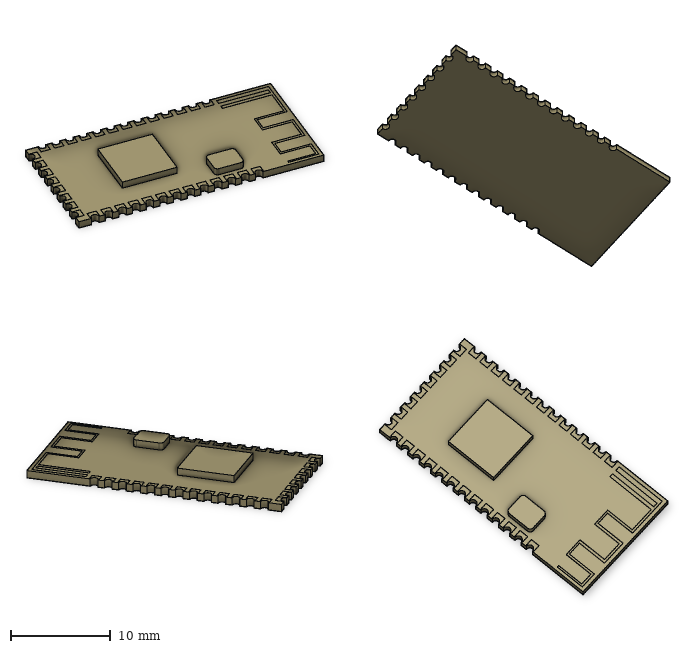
import cadquery as cq

BOARD_WIDTH = 13.0
BOARD_LENGTH = 26.9
BOARD_THICKNESS = 0.8
COPPER_THICKNESS = 0.01
COPPER_TOP = BOARD_THICKNESS + COPPER_THICKNESS
TOTAL_HEIGHT = 1.56
LEFT = -BOARD_WIDTH / 2
BACK = BOARD_LENGTH / 2
FRONT = -BOARD_LENGTH / 2

CONTACT_PITCH = 1.5
SIDE_CONTACTS = 13
FRONT_CONTACTS = 8
FIRST_SIDE_CONTACT = FRONT + 1.8
PAD_WIDTH = 1.0
PAD_DEPTH = 0.9
NOTCH_RADIUS = 0.4
NOTCH_INSET = 0.05

CHIP_SIZE = 6.0
CHIP_X = 0.22
CHIP_FROM_BACK = 17.65
CRYSTAL_WIDTH = 2.5
CRYSTAL_LENGTH = 3.2
CRYSTAL_X = 3.9
CRYSTAL_FROM_BACK = 9.7
CRYSTAL_CORNER_RADIUS = 0.4

ANTENNA_TOP = 0.4
ANTENNA_TOP_INNER = 0.65
MEANDER_BOTTOM_INNER = 3.7
MEANDER_BOTTOM = 3.9
FEED_END = 6.1
GROUND_LEG = (0.4, 0.9)
FEED_LEG = (1.4, 1.8)
MEANDER_RUNS = [(4.7, 4.95), (6.4, 6.7), (8.95, 9.25), (10.8, 11.05)]
TAIL_RUN = (12.45, 12.65)


def contact_sites():
    """Board-edge point (x, y) and inward direction (dx, dy) of every contact."""
    sites = []
    for i in range(SIDE_CONTACTS):
        y = FIRST_SIDE_CONTACT + i * CONTACT_PITCH
        sites.append((LEFT, y, 1, 0))
        sites.append((-LEFT, y, -1, 0))
    for i in range(FRONT_CONTACTS):
        x = (i - (FRONT_CONTACTS - 1) / 2) * CONTACT_PITCH
        sites.append((x, FRONT, 0, 1))
    return sites


def box_on(z_bottom, z_top, x, y, size_x, size_y):
    """Box centred at (x, y) between two heights."""
    return cq.Workplane("XY", origin=(x, y, z_bottom)).rect(size_x, size_y).extrude(z_top - z_bottom)


def make_board():
    return box_on(0, BOARD_THICKNESS, 0, 0, BOARD_WIDTH, BOARD_LENGTH)


def make_pad(x, y, dx, dy):
    size_x = PAD_DEPTH if dx else PAD_WIDTH
    size_y = PAD_DEPTH if dy else PAD_WIDTH
    centre_x = x + dx * PAD_DEPTH / 2
    centre_y = y + dy * PAD_DEPTH / 2
    return box_on(0, COPPER_TOP, centre_x, centre_y, size_x, size_y)


def make_notches(sites):
    centres = [(x + dx * NOTCH_INSET, y + dy * NOTCH_INSET) for x, y, dx, dy in sites]
    return cq.Workplane("XY").pushPoints(centres).circle(NOTCH_RADIUS).extrude(TOTAL_HEIGHT)


def make_antenna():
    """Inverted-F meander trace, standing proud of the board by the copper thickness."""
    strips = [
        (GROUND_LEG, (ANTENNA_TOP, FEED_END)),
        (FEED_LEG, (ANTENNA_TOP, FEED_END)),
        (TAIL_RUN, (ANTENNA_TOP, MEANDER_BOTTOM_INNER)),
    ]
    for run in MEANDER_RUNS:
        strips.append((run, (ANTENNA_TOP, MEANDER_BOTTOM)))

    runs = [GROUND_LEG] + MEANDER_RUNS + [TAIL_RUN]
    for i in range(len(runs) - 1):
        span = (runs[i][0], runs[i + 1][1])
        at_back = i % 2 == 0
        depths = (ANTENNA_TOP, ANTENNA_TOP_INNER) if at_back else (MEANDER_BOTTOM_INNER, MEANDER_BOTTOM)
        strips.append((span, depths))

    antenna = cq.Workplane("XY")
    for (x_left, x_right), (depth_back, depth_front) in strips:
        strip = box_on(
            0,
            COPPER_TOP,
            LEFT + (x_left + x_right) / 2,
            BACK - (depth_back + depth_front) / 2,
            x_right - x_left,
            depth_front - depth_back,
        )
        antenna = antenna.union(strip)
    return antenna


def make_chip():
    return box_on(BOARD_THICKNESS, TOTAL_HEIGHT, CHIP_X, BACK - CHIP_FROM_BACK, CHIP_SIZE, CHIP_SIZE)


def make_crystal():
    body = box_on(
        BOARD_THICKNESS,
        TOTAL_HEIGHT,
        CRYSTAL_X,
        BACK - CRYSTAL_FROM_BACK,
        CRYSTAL_WIDTH,
        CRYSTAL_LENGTH,
    )
    return body.edges("|Z").fillet(CRYSTAL_CORNER_RADIUS)


sites = contact_sites()
result = make_board().union(make_antenna())
for site in sites:
    result = result.union(make_pad(*site))
result = result.cut(make_notches(sites))
result = result.union(make_chip()).union(make_crystal())